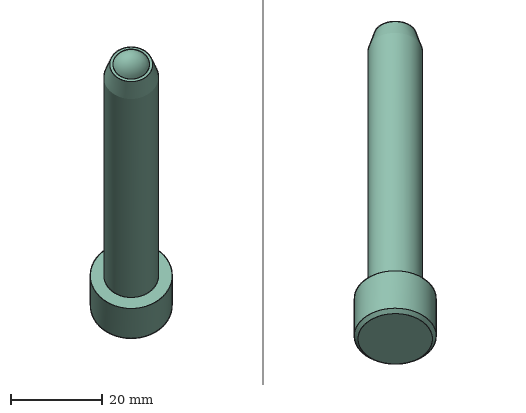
import cadquery as cq

total_length = 93.25
head_diameter = 18.0
head_height = 12.0
head_chamfer = 0.8
shank_diameter = 12.0
taper_length = 4.8
taper_end_diameter = 9.4
dome_diameter = 8.0
dome_height = 2.6

dome_base_z = total_length - dome_height
taper_base_z = dome_base_z - taper_length

head_radius = head_diameter / 2
shank_radius = shank_diameter / 2
taper_end_radius = taper_end_diameter / 2
dome_base_radius = dome_diameter / 2

sphere_radius = (dome_base_radius**2 + dome_height**2) / (2 * dome_height)
sphere_center_z = total_length - sphere_radius
dome_mid_z = dome_base_z + dome_height / 2
dome_mid_radius = (sphere_radius**2 - (dome_mid_z - sphere_center_z) ** 2) ** 0.5

profile = (
    cq.Workplane("XZ")
    .moveTo(0, 0)
    .lineTo(head_radius - head_chamfer, 0)
    .lineTo(head_radius, head_chamfer)
    .lineTo(head_radius, head_height)
    .lineTo(shank_radius, head_height)
    .lineTo(shank_radius, taper_base_z)
    .lineTo(taper_end_radius, dome_base_z)
    .lineTo(dome_base_radius, dome_base_z)
    .threePointArc((dome_mid_radius, dome_mid_z), (0, total_length))
    .close()
)

result = profile.revolve(360, (0, 0, 0), (0, 1, 0))